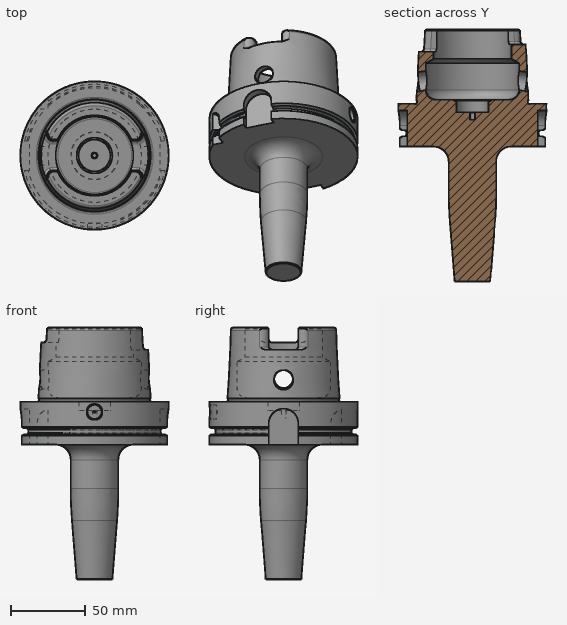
import cadquery as cq
import math


total_height = 169.9
shank_height = 50.0
flange_height = 29.0
bottom_z = shank_height - total_height

tolerance = 0.02

arc_mid_share = 1 - math.sqrt(0.5)

shank_top_radius = 35.5
shank_base_radius = 37.9
shank_rim_fillet = 2.0
rim_chamfer = 1.0
relief_height = 2.4
relief_radius = 37.5
relief_taper_height = 0.5
relief_corner_radius = 1.0
relief_face_depth = 0.2
relief_outer_radius = 39.5

drive_slot_width = 19.7
left_slot_depth = 10.0
right_slot_depth = 15.0
slot_corner_radius = 4.5
slot_floor_fillet = 2.0

flange_diameter = 100.0
flange_radius = flange_diameter / 2
groove_radius = 45.9
groove_center_z = -20.0
groove_mouth_width = 6.0
groove_width = 3.9
groove_flank_angle = math.radians(30)
groove_floor_fillet = 0.8

nose_radius = 16.1
nose_root_fillet = 10.0
nose_blend_start_z = -58.5
nose_blend_end_z = -79.9
nose_taper = math.radians(4.5)
nose_tip_chamfer = 0.7

bore_radius = 26.2
bore_depth = 19.9
clamp_radius = 31.5
clamp_cone_angle = math.radians(30)
clamp_depth = 40.6
floor_radius = 24.8
floor_fillet = clamp_radius - floor_radius
floor_depth = clamp_depth + floor_fillet
recess_radius = 10.7
recess_depth = 8.5
recess_step_radius = 12.0
recess_step_depth = 0.8
coolant_radius = 1.5
coolant_depth = 5.1
coolant_chamfer = 0.5

cross_hole_radius = 6.3
cross_hole_z = 14.8
cross_hole_tilt = 8.0
cross_hole_depth = 13.6
cross_hole_chamfer = 0.3

keyway_width = 19.9
keyway_top_z = -4.8
keyway_floor_x = 44.0
notch_offset = 31.6
notch_radius = keyway_width / 2

chip_radius = 4.8
chip_z = -7.0
chip_depth = 4.6
chip_chamfer = 0.7
chip_center_radius = 0.7
chip_center_depth = 0.7


def shank_radius_at(z):
    """Outer radius of the tapered shank at height z."""
    taper_share = (z - relief_height) / (shank_height - relief_height)
    return shank_base_radius + (shank_top_radius - shank_base_radius) * taper_share


def turned_body():
    """Solid of revolution: shank, flange with gripper groove, and nose."""
    blend_length = nose_blend_start_z - nose_blend_end_z
    blend_radius = blend_length / math.sin(nose_taper)
    half_taper = nose_taper / 2
    blend_mid_radius = nose_radius - blend_radius * (1 - math.cos(half_taper))
    blend_mid_z = nose_blend_start_z - blend_radius * math.sin(half_taper)
    blend_end_radius = nose_radius - blend_radius * (1 - math.cos(nose_taper))
    tip_radius = blend_end_radius - (nose_blend_end_z - bottom_z) * math.tan(nose_taper)

    relief_arc_offset = relief_corner_radius * arc_mid_share
    groove_arc_offset = groove_floor_fillet * arc_mid_share
    root_offset = nose_root_fillet * arc_mid_share
    groove_top_z = groove_center_z + groove_width / 2
    groove_bottom_z = groove_center_z - groove_width / 2
    flank_height = (groove_mouth_width - groove_width) / 2
    groove_flank_radius = flange_radius - flank_height / math.tan(groove_flank_angle)

    root_z = -flange_height - nose_root_fillet

    profile = (
        cq.Workplane("XZ")
        .moveTo(0, shank_height)
        .lineTo(shank_top_radius, shank_height)
        .lineTo(shank_base_radius, relief_height)
        .lineTo(relief_radius, relief_height - relief_taper_height)
        .lineTo(relief_radius, relief_corner_radius - relief_face_depth)
        .threePointArc(
            (relief_radius + relief_arc_offset, relief_arc_offset - relief_face_depth),
            (relief_radius + relief_corner_radius, -relief_face_depth),
        )
        .lineTo(relief_outer_radius, 0)
        .lineTo(flange_radius, 0)
        .lineTo(flange_radius, groove_center_z + groove_mouth_width / 2)
        .lineTo(groove_flank_radius, groove_top_z)
        .lineTo(groove_radius + groove_floor_fillet, groove_top_z)
        .threePointArc(
            (groove_radius + groove_arc_offset, groove_top_z - groove_arc_offset),
            (groove_radius, groove_top_z - groove_floor_fillet),
        )
        .lineTo(groove_radius, groove_bottom_z + groove_floor_fillet)
        .threePointArc(
            (groove_radius + groove_arc_offset, groove_bottom_z + groove_arc_offset),
            (groove_radius + groove_floor_fillet, groove_bottom_z),
        )
        .lineTo(groove_flank_radius, groove_bottom_z)
        .lineTo(flange_radius, groove_center_z - groove_mouth_width / 2)
        .lineTo(flange_radius, -flange_height)
        .lineTo(nose_radius + nose_root_fillet, -flange_height)
        .threePointArc(
            (nose_radius + root_offset, -flange_height - root_offset),
            (nose_radius, root_z),
        )
        .lineTo(nose_radius, nose_blend_start_z)
        .threePointArc((blend_mid_radius, blend_mid_z), (blend_end_radius, nose_blend_end_z))
        .lineTo(tip_radius, bottom_z + nose_tip_chamfer)
        .lineTo(tip_radius - nose_tip_chamfer, bottom_z)
        .lineTo(0, bottom_z)
        .close()
    )
    return profile.revolve(360, (0, 0, 0), (0, 1, 0))


def entry_bore():
    """Cylindrical mouth of the clamping bore."""
    mouth = cq.Workplane("XY").workplane(offset=shank_height - bore_depth)
    return mouth.circle(bore_radius).extrude(bore_depth)


def clamping_recess():
    """Undercut clamping chamber below the mouth, with its stepped centre pocket and coolant hole."""
    mouth_end_z = shank_height - bore_depth
    clamp_cone_z = mouth_end_z - (clamp_radius - bore_radius) * math.tan(clamp_cone_angle)
    floor_z = shank_height - floor_depth
    fillet_offset = floor_fillet * arc_mid_share
    pocket_z = floor_z - recess_depth
    coolant_z = pocket_z - coolant_depth
    profile = (
        cq.Workplane("XZ")
        .moveTo(0, mouth_end_z)
        .lineTo(bore_radius, mouth_end_z)
        .lineTo(clamp_radius, clamp_cone_z)
        .lineTo(clamp_radius, shank_height - clamp_depth)
        .threePointArc(
            (clamp_radius - fillet_offset, floor_z + fillet_offset),
            (floor_radius, floor_z),
        )
        .lineTo(recess_step_radius, floor_z)
        .lineTo(recess_step_radius, floor_z - recess_step_depth)
        .lineTo(recess_radius, floor_z - recess_step_depth)
        .lineTo(recess_radius, pocket_z)
        .lineTo(coolant_radius + coolant_chamfer, pocket_z)
        .lineTo(coolant_radius, pocket_z - coolant_chamfer)
        .lineTo(coolant_radius, coolant_z)
        .lineTo(0, coolant_z)
        .close()
    )
    return profile.revolve(360, (0, 0, 0), (0, 1, 0))


def drive_slot(side, depth):
    """Rectangular slot across the shank rim on the +X (1) or -X (-1) side."""
    slot = cq.Workplane("XY").box(
        shank_base_radius, drive_slot_width, depth, centered=(True, True, False)
    )
    return slot.translate((side * shank_base_radius, 0, shank_height - depth))


def is_slot_corner(edge):
    """True for the upright outer edges where a drive slot leaves the taper."""
    box = edge.BoundingBox()
    center = edge.Center()
    return (
        box.ylen < tolerance
        and box.zlen > tolerance
        and abs(abs(center.y) - drive_slot_width / 2) < tolerance
        and abs(center.x) > bore_radius
    )


def is_slot_floor_corner(edge):
    """True for the edges where the walls of a drive slot meet its floor."""
    center = edge.Center()
    floor_heights = (shank_height - left_slot_depth, shank_height - right_slot_depth)
    return (
        any(abs(center.z - height) < tolerance for height in floor_heights)
        and abs(center.y) > drive_slot_width / 2 - tolerance
        and math.hypot(center.x, center.y) < shank_top_radius - slot_floor_fillet / 2
    )


def rim_rounding():
    """Ring cutter that rounds the outer rim of the shank."""
    round_end_z = shank_height - shank_rim_fillet
    round_end_radius = shank_radius_at(round_end_z)
    arc_offset = shank_rim_fillet * arc_mid_share
    profile = (
        cq.Workplane("XZ")
        .moveTo(shank_top_radius - shank_rim_fillet, shank_height)
        .threePointArc(
            (round_end_radius - arc_offset, shank_height - arc_offset),
            (round_end_radius, round_end_z),
        )
        .lineTo(flange_radius, round_end_z)
        .lineTo(flange_radius, shank_height)
        .close()
    )
    return profile.revolve(360, (0, 0, 0), (0, 1, 0))


def hollow_shank_body():
    """Turned body with the bore mouth, the drive slots and their rounded edges."""
    body = turned_body().cut(entry_bore())
    body = body.cut(drive_slot(-1, left_slot_depth)).cut(drive_slot(1, right_slot_depth))
    body = body.edges().filter(is_slot_corner).fillet(slot_corner_radius)
    body = body.edges().filter(is_slot_floor_corner).fillet(slot_floor_fillet)
    body = body.faces(">Z").edges().chamfer(rim_chamfer)
    return body.cut(rim_rounding())


def countersunk_drill(radius, chamfer, mouth_distance, depth):
    """Cutter along +Y for a hole entering at y = -mouth_distance, widened at its mouth."""
    profile = (
        cq.Workplane("XY")
        .moveTo(0, -flange_radius - chamfer)
        .lineTo(radius + chamfer, -flange_radius - chamfer)
        .lineTo(radius + chamfer, -mouth_distance)
        .lineTo(radius, -mouth_distance + chamfer)
        .lineTo(radius, -mouth_distance + depth)
        .lineTo(0, -mouth_distance + depth)
        .close()
    )
    return profile.revolve(360, (0, 0, 0), (0, 1, 0))


def chip_pocket():
    """Blind round pocket for a data chip on the -Y side of the flange."""
    mouth_distance = math.sqrt(flange_radius**2 - chip_radius**2)
    drill = countersunk_drill(chip_radius, chip_chamfer, mouth_distance, chip_depth)
    center = cq.Workplane("XZ").circle(chip_center_radius).extrude(-chip_center_depth)
    center = center.translate((0, chip_depth - mouth_distance, 0))
    return drill.union(center).translate((0, 0, chip_z))


def cross_holes():
    """Opposed countersunk holes through the shank wall, rising towards the axis."""
    outer_radius = shank_radius_at(cross_hole_z)
    mouth_distance = math.sqrt(outer_radius**2 - cross_hole_radius**2)
    drill = countersunk_drill(
        cross_hole_radius, cross_hole_chamfer, mouth_distance, cross_hole_depth
    )
    mouth = (0, -mouth_distance, 0)
    drill = drill.rotate(mouth, (1, -mouth_distance, 0), cross_hole_tilt)
    drill = drill.translate((0, 0, cross_hole_z))
    left = drill.rotate((0, 0, 0), (0, 0, 1), -90)
    return left.union(left.mirror("YZ"))


def flange_slot(side, center_y, radius, top_z, floor_x):
    """Round-topped slot along Z in the flange rim, with a flat floor at side * floor_x."""
    depth = flange_radius - floor_x
    center_z = top_z - radius
    shaft_length = center_z + flange_height
    slot = cq.Workplane("YZ").center(center_y, center_z).circle(radius).extrude(depth)
    shaft = (
        cq.Workplane("YZ")
        .center(center_y, center_z - shaft_length / 2)
        .rect(2 * radius, shaft_length)
        .extrude(depth)
    )
    slot = slot.union(shaft).translate((floor_x, 0, 0))
    return slot if side > 0 else slot.mirror("YZ")


result = hollow_shank_body().cut(clamping_recess()).cut(cross_holes()).cut(chip_pocket())
for side in (-1, 1):
    result = result.cut(flange_slot(side, 0, keyway_width / 2, keyway_top_z, keyway_floor_x))
notch_center_y = notch_offset + notch_radius
result = result.cut(flange_slot(-1, notch_center_y, notch_radius, keyway_top_z, notch_offset))